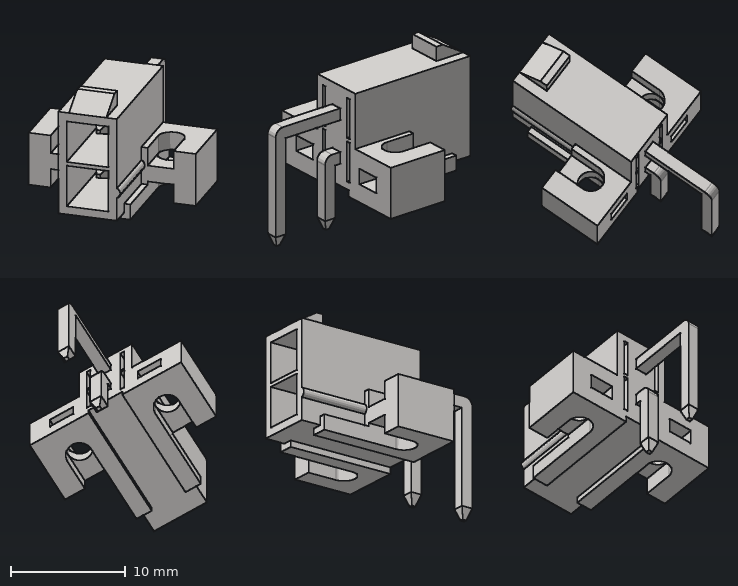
import cadquery as cq


overall_width = 15.4
overall_depth = 19.97

housing_width = 5.4
housing_depth = 12.8
housing_height = 9.63
housing_bottom = 0.62

row_pitch = 4.2
cavity_size = 3.83
cavity_depth = 9.98
back_block_width = 3.05
lower_row_z = housing_bottom + housing_width / 2
row_heights = [lower_row_z, lower_row_z + row_pitch]

flange_depth = 6.01
flange_height = 4.93
rail_length = 10.78
rail_height = 1.45
rail_gap = 3.43

screw_diameter = 2.38
screw_spacing = 8.93
screw_setback = 3.05
web_bottom = 1.75
web_top = 3.25

latch_width = 3.43
latch_height = 1.38
latch_length = 3.0
latch_flat = 0.7

key_radius = 0.5
key_protrusion = 0.3
key_z = 3.24

pin_size = 1.14
tail_tip_size = 0.38
contact_tip_size = 0.34
pin_taper = 1.08
pin_bend_radius = 0.8
pin_tip_z = -3.37
pin_front_y = 3.0
tail_pitch = 5.5
upper_tail_y = overall_depth - pin_size / 2
tail_positions = [upper_tail_y - tail_pitch, upper_tail_y]


def block(x_range, y_range, z_range):
    """Axis-aligned box between three pairs of limits."""
    size = [high - low for low, high in (x_range, y_range, z_range)]
    corner = (x_range[0], y_range[0], z_range[0])
    return cq.Workplane("XY").box(*size, centered=False).translate(corner)


def centered_block(width, y_range, z_range):
    """Box that is symmetric about X = 0."""
    return block((-width / 2, width / 2), y_range, z_range)


def make_flange():
    """Flange and rail on the +X side, with a screw hole that opens to front and rear in turn."""
    inner_x = rail_gap / 2
    flange_front = housing_depth - flange_depth
    screw_x = screw_spacing / 2
    screw_y = housing_depth - screw_setback
    screw_radius = screw_diameter / 2

    plate = block((inner_x, overall_width / 2), (flange_front, housing_depth), (0, flange_height))
    rail_x = (inner_x, screw_x - screw_radius)
    rail = block(rail_x, (housing_depth - rail_length, housing_depth), (0, rail_height))
    flange = plate.union(rail)

    hole = cq.Workplane("XY").center(screw_x, screw_y).circle(screw_radius).extrude(flange_height)
    flange = flange.cut(hole)
    slot_x = (screw_x - screw_radius, screw_x + screw_radius)
    front = (flange_front, screw_y)
    rear = (screw_y, housing_depth)
    flange = flange.cut(block(slot_x, front, (0, web_bottom)))
    flange = flange.cut(block(slot_x, rear, (web_bottom, web_top)))
    flange = flange.cut(block(slot_x, front, (web_top, flange_height)))
    return flange


def make_latch():
    """Ramp on the roof that rises from the mating face to a short flat."""
    roof = housing_bottom + housing_height
    top = roof + latch_height
    return (
        cq.Workplane("YZ", origin=(-latch_width / 2, 0, 0))
        .polyline([(0, roof), (latch_length, roof), (latch_length, top), (latch_length - latch_flat, top)])
        .close()
        .extrude(latch_width)
    )


def make_key():
    """Rounded ridge running back from the mating face into the +X flange."""
    center_x = housing_width / 2 + key_protrusion - key_radius
    return (
        cq.Workplane("XZ")
        .center(center_x, key_z)
        .circle(key_radius)
        .extrude(-housing_depth)
    )


def make_cavity(row_z):
    """Square cavity with two slits that continue past the back block to the rear face."""
    z_range = (row_z - cavity_size / 2, row_z + cavity_size / 2)
    passage = centered_block(cavity_size, (0, housing_depth), z_range)
    back_block = centered_block(back_block_width, (cavity_depth, housing_depth), z_range)
    return passage.cut(back_block)


def make_taper(plane, tip_size):
    """Pyramid-shaped pin end that narrows along the normal of its plane."""
    return (
        cq.Workplane(plane)
        .rect(pin_size, pin_size)
        .workplane(offset=pin_taper)
        .rect(tip_size, tip_size)
        .loft(ruled=True)
    )


def make_pin(row_z, tail_y):
    """Right-angle square pin with a tapered contact end and a tapered solder tail."""
    half = pin_size / 2
    contact_base = pin_front_y + pin_taper
    tail_base = pin_tip_z + pin_taper

    contact = centered_block(pin_size, (contact_base, tail_y + half), (row_z - half, row_z + half))
    tail = centered_block(pin_size, (tail_y - half, tail_y + half), (tail_base, row_z + half))
    bar = contact.union(tail).edges("|X and >Y and >Z").fillet(pin_bend_radius)

    contact_plane = cq.Plane(origin=(0, contact_base, row_z), xDir=(1, 0, 0), normal=(0, -1, 0))
    tail_plane = cq.Plane(origin=(0, tail_y, tail_base), xDir=(1, 0, 0), normal=(0, 0, -1))
    return bar.union(make_taper(contact_plane, contact_tip_size)).union(make_taper(tail_plane, tail_tip_size))


def make_housing(pins):
    """Shell with flanges, latch and key, hollowed by the cavities and the pin holes."""
    shell_z = (housing_bottom, housing_bottom + housing_height)
    housing = centered_block(housing_width, (0, housing_depth), shell_z)
    flange = make_flange()
    housing = housing.union(flange).union(flange.mirror("YZ"))
    housing = housing.union(make_latch()).union(make_key())
    for row_z in row_heights:
        housing = housing.cut(make_cavity(row_z))
    for pin in pins:
        housing = housing.cut(pin)
    return housing


pins = [make_pin(row_z, tail_y) for row_z, tail_y in zip(row_heights, tail_positions)]
housing = make_housing(pins)

result = cq.Compound.makeCompound([housing.val(), *[pin.val() for pin in pins]])